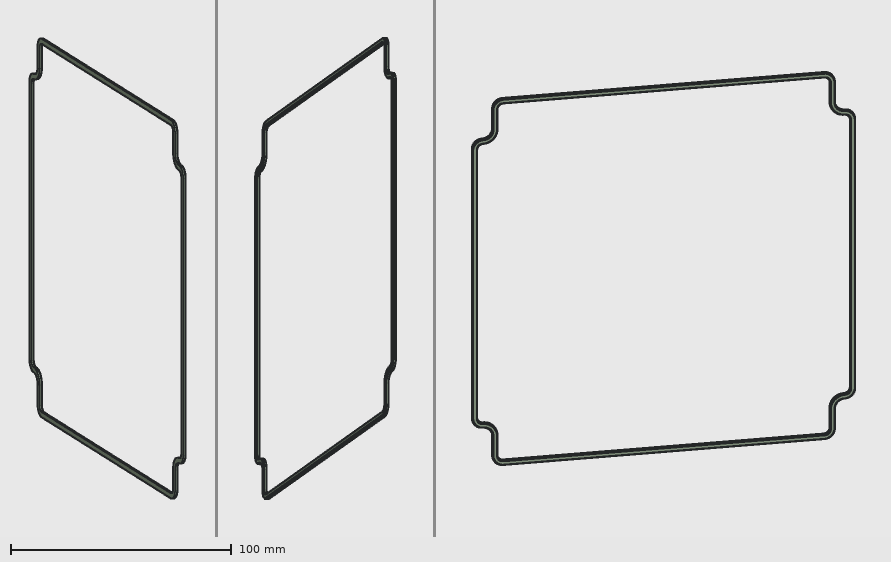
import cadquery as cq

side = 177.9
thickness = 1.5
band_width = 2.5
back_chamfer = 0.5
pick_reach = 0.2
notch_x = 9.5
notch_z = 18.9
outer_corner_radius = 5.0
inner_corner_radius = outer_corner_radius - band_width
notch_outer_radius = 4.3
notch_inner_radius = notch_outer_radius + band_width


def notched_plate(inset, corner_radius, notch_radius):
    """Square plate with notched corners, its outline moved inward by inset."""
    half = side / 2 - inset
    step_x = side / 2 - notch_x - inset
    step_z = side / 2 - notch_z - inset

    tall = cq.Workplane("XY").box(2 * half, thickness, 2 * step_z)
    wide = cq.Workplane("XY").box(2 * step_x, thickness, 2 * half)
    plate = tall.union(wide)

    def edges_at(x, z):
        boxes = [
            cq.selectors.BoxSelector(
                (sx * x - pick_reach, -thickness, sz * z - pick_reach),
                (sx * x + pick_reach, thickness, sz * z + pick_reach),
            )
            for sx in (-1, 1)
            for sz in (-1, 1)
        ]
        return boxes[0] + boxes[1] + boxes[2] + boxes[3]

    convex = edges_at(half, step_z) + edges_at(step_x, half)
    plate = plate.edges("|Y").edges(convex).fillet(corner_radius)
    return plate.edges("|Y").edges(edges_at(step_x, step_z)).fillet(notch_radius)


outer = notched_plate(0, outer_corner_radius, notch_outer_radius)
opening = notched_plate(band_width, inner_corner_radius, notch_inner_radius)
frame = outer.cut(opening)

result = frame.faces(">Y").edges().chamfer(back_chamfer)